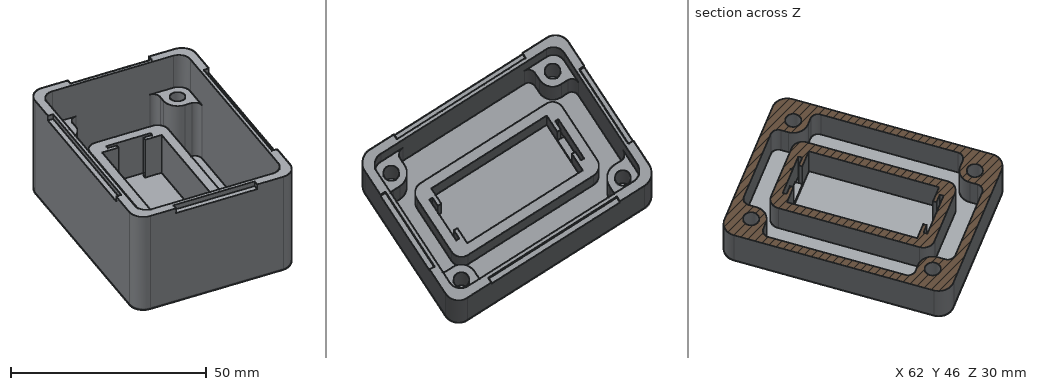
import cadquery as cq

length = 62.0
width = 46.0
height = 30.0
corner_radius = 4.0
bottom_edge_radius = 1.0
wall = 2.5
cavity_floor = 3.0
cavity_corner_radius = 3.3
cavity_length = length - 2 * wall
cavity_width = width - 2 * wall

ledge_depth = 1.5
ledge_height = 1.5
long_ledge_length = 39.05
short_ledge_length = 23.2

post_top = 19.85
post_x = 24.55
post_y = 16.55
post_radius = 4.0
post_blend_radius = 2.0
post_hole_diameter = 4.0

holder_length = 44.25
holder_width = 22.3
holder_top = 14.95
holder_corner_radius = 3.05
pocket_length = 35.1
pocket_width = 17.0
pocket_floor = cavity_floor

slot_inner_x = 18.6
slot_outer_x = 19.5
left_slot_width = 12.65
left_opening_width = 7.55
right_slot_width = 12.15
right_opening_width = 6.8
right_step_height = 1.0
right_opening_floor = pocket_floor + right_step_height


def block(x_min, x_max, y_min, y_max, z_min, z_max):
    """Box given by its limits along each axis."""
    size = (x_max - x_min, y_max - y_min, z_max - z_min)
    return cq.Workplane("XY").box(*size, centered=False).translate((x_min, y_min, z_min))


def centred_block(size_x, size_y, z_min, z_max):
    """Box centred on the Z axis."""
    return block(-size_x / 2, size_x / 2, -size_y / 2, size_y / 2, z_min, z_max)


def end_cut(x_start, x_end, cut_width, floor):
    """Cut through the top of the holder, symmetric about the XZ plane."""
    return block(x_start, x_end, -cut_width / 2, cut_width / 2, floor, holder_top)


def make_shell():
    body = centred_block(length, width, 0, height)
    body = body.edges("|Z").fillet(corner_radius)
    body = body.faces("<Z").edges().fillet(bottom_edge_radius)
    cavity = centred_block(cavity_length, cavity_width, cavity_floor, height)
    return body.cut(cavity.edges("|Z").fillet(cavity_corner_radius))


def cut_rim_ledges(body):
    z_min = height - ledge_height
    half_long = long_ledge_length / 2
    half_short = short_ledge_length / 2
    long_ledge = block(-half_long, half_long, width / 2 - ledge_depth, width / 2, z_min, height)
    short_ledge = block(length / 2 - ledge_depth, length / 2, -half_short, half_short, z_min, height)
    for ledge, mirror_plane in ((long_ledge, "XZ"), (short_ledge, "YZ")):
        body = body.cut(ledge).cut(ledge.mirror(mirror_plane))
    return body


def make_post():
    """Post in the +X +Y corner, rounded inward and blended into both walls."""
    wall_x = cavity_length / 2
    wall_y = cavity_width / 2
    outer_x = wall_x + wall / 2
    outer_y = wall_y + wall / 2
    inner_x = post_x - post_radius
    inner_y = post_y - post_radius
    blend = post_blend_radius
    outline = (
        cq.Workplane("XY", origin=(0, 0, cavity_floor))
        .moveTo(outer_x, outer_y)
        .lineTo(inner_x - blend, outer_y)
        .lineTo(inner_x - blend, wall_y)
        .radiusArc((inner_x, wall_y - blend), blend)
        .lineTo(inner_x, post_y)
        .radiusArc((post_x, inner_y), -post_radius)
        .lineTo(wall_x - blend, inner_y)
        .radiusArc((wall_x, inner_y - blend), blend)
        .lineTo(outer_x, inner_y - blend)
        .close()
    )
    return outline.extrude(post_top - cavity_floor)


def add_posts(body):
    right_posts = make_post()
    right_posts = right_posts.union(right_posts.mirror("XZ"))
    body = body.union(right_posts).union(right_posts.mirror("YZ"))
    holes = (
        cq.Workplane("XY", origin=(0, 0, cavity_floor))
        .rect(2 * post_x, 2 * post_y, forConstruction=True)
        .vertices()
        .circle(post_hole_diameter / 2)
        .extrude(post_top - cavity_floor)
    )
    return body.cut(holes)


def add_holder(body):
    holder = centred_block(holder_length, holder_width, cavity_floor, holder_top)
    body = body.union(holder.edges("|Z").fillet(holder_corner_radius))
    return body.cut(centred_block(pocket_length, pocket_width, pocket_floor, holder_top))


def cut_contact_slots(body):
    pocket_end = pocket_length / 2
    body = body.cut(end_cut(-slot_outer_x, -slot_inner_x, left_slot_width, pocket_floor))
    body = body.cut(end_cut(-slot_inner_x, -pocket_end, left_opening_width, pocket_floor))
    body = body.cut(end_cut(pocket_end, slot_outer_x, right_opening_width, right_opening_floor))
    slot = end_cut(slot_inner_x, slot_outer_x, right_slot_width, pocket_floor)
    step = end_cut(slot_inner_x, slot_outer_x, right_opening_width, pocket_floor)
    return body.cut(slot.cut(step))


shell = cut_rim_ledges(make_shell())
result = cut_contact_slots(add_holder(add_posts(shell)))